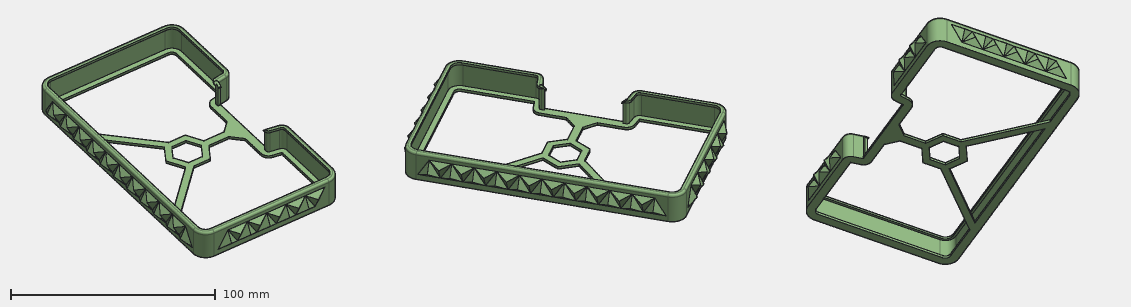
import cadquery as cq
import math

overall_length = 149
frame_length = 142.6
frame_width = 82.5
frame_height = 16.0
corner_radius = 7.3
wall_thickness = 1.5
bead_inset = 2.7
lip_width = 4.5
floor_thickness = 1.5
rim_round = 1.3
bead_height = 1.3

notch_depth = 8.8
notch_half_width = 21.5
notch_lean = 10
shoulder_radius = 4.5
strip_overhang = 0.1
wall_end_x = 20.0
end_lip_x = 19.2
end_slope_x = 22.0

hex_flats = 21.8
hex_hole_flats = 14.5
hex_y = -0.9
stem_width = 4.3
leg_width = 3.9
gusset_half_width = 7.9

stud_side = 11.5
stud_base_height = 9.5
stud_height = (overall_length - frame_length) / 2
stud_peak_offset = 1.6
front_studs = 21
side_studs = 10
back_studs = 5

half_length = frame_length / 2
half_width = frame_width / 2
notch_y = half_width - notch_depth
notch_mouth_x = notch_half_width + notch_depth * math.tan(math.radians(notch_lean))
strip_front_y = notch_y - lip_width


def frame_prism(inset, bottom, top):
    """Notched frame outline, moved inwards by inset and extruded from bottom to top."""
    half_outline = [
        (half_length, -half_width, corner_radius - inset),
        (half_length, half_width, corner_radius - inset),
        (notch_mouth_x, half_width, shoulder_radius - inset),
        (notch_half_width, notch_y, inset),
    ]
    corners = half_outline + [(-x, y, r) for x, y, r in reversed(half_outline)]
    outline = cq.Workplane("XY", origin=(0, 0, bottom)).polyline([(x, y) for x, y, _ in corners]).close()
    if inset > 0:
        outline = outline.offset2D(-inset, "intersection")
    prism = outline.extrude(top - bottom)
    for x, y, radius in corners:
        if radius > 0:
            nearest = cq.selectors.NearestToPointSelector((x, y, (bottom + top) / 2))
            prism = prism.edges("|Z").edges(nearest).fillet(radius)
    return prism


def notch_gap():
    """Opening between the two wall ends; each end has a lip whose top slopes up to the rim at 45 degrees."""
    lip_bottom = frame_height - (end_slope_x - end_lip_x)
    right_profile = [
        (wall_end_x, floor_thickness),
        (wall_end_x, lip_bottom),
        (end_lip_x, lip_bottom),
        (end_slope_x, frame_height),
    ]
    left_profile = [(-x, z) for x, z in reversed(right_profile)]
    return (
        cq.Workplane("XZ", origin=(0, notch_y, 0))
        .polyline(right_profile + left_profile)
        .close()
        .extrude(lip_width, both=True)
    )


def frame():
    body = frame_prism(0, 0, frame_height).faces(">Z").edges().fillet(rim_round)
    return (
        body.cut(frame_prism(lip_width, 0, floor_thickness))
        .cut(frame_prism(wall_thickness, floor_thickness, frame_height - bead_height))
        .cut(frame_prism(bead_inset, frame_height - bead_height, frame_height))
        .cut(notch_gap())
    )


def floor_plate(points):
    return cq.Workplane("XY").polyline(points).close().extrude(floor_thickness)


def floor_rectangle(half_x, y_front, y_back):
    return floor_plate([(-half_x, y_front), (half_x, y_front), (half_x, y_back), (-half_x, y_back)])


def hexagon(flats):
    """Hexagonal plate with two flats facing along X."""
    radius = flats / math.sqrt(3)
    angles = [math.radians(30 + 60 * i) for i in range(6)]
    return floor_plate([(radius * math.cos(a), hex_y + radius * math.sin(a)) for a in angles])


def leg(side):
    """Diagonal bar running at 45 degrees from a lower hexagon corner to the front lip."""
    half_leg = leg_width / math.sqrt(2)
    corner_x = hex_flats / 2
    corner_y = hex_y - corner_x * math.tan(math.radians(30))
    start_x = corner_x - half_leg
    start_y = corner_y + half_leg
    foot_y = -half_width + lip_width / 2
    foot_x = start_x + start_y - foot_y
    return floor_plate([
        (side * (start_x - half_leg), start_y),
        (side * (start_x + half_leg), start_y),
        (side * (foot_x + half_leg), foot_y),
        (side * (foot_x - half_leg), foot_y),
    ])


def spider():
    strip = floor_rectangle(notch_half_width, strip_front_y, notch_y + strip_overhang)
    stem = floor_rectangle(stem_width / 2, hex_y, notch_y)
    gusset = floor_plate([
        (-gusset_half_width, strip_front_y),
        (gusset_half_width, strip_front_y),
        (0, strip_front_y - gusset_half_width),
    ])
    body = hexagon(hex_flats).union(stem).union(gusset).union(strip)
    return body.union(leg(-1)).union(leg(1)).cut(hexagon(hex_hole_flats))


def stud(x, direction):
    """Pyramid on the XZ plane with its peak towards -Y; direction is 1 for point up, -1 for down."""
    base_z = -direction * stud_base_height / 2
    left = (x - stud_side / 2, 0, base_z)
    right = (x + stud_side / 2, 0, base_z)
    tip = (x, 0, -base_z)
    peak = (x, -stud_height, -direction * stud_peak_offset)
    triangles = [(left, right, tip), (left, right, peak), (right, tip, peak), (tip, left, peak)]
    faces = []
    for triangle in triangles:
        wire = cq.Wire.makePolygon([cq.Vector(*p) for p in triangle], close=True)
        faces.append(cq.Face.makeFromWires(wire))
    return cq.Solid.makeSolid(cq.Shell.makeShell(faces))


def stud_row(count, first_direction, x, y, turn):
    """Row of studs centred on (x, y), turned about Z from facing -Y."""
    place = cq.Location(cq.Vector(x, y, frame_height / 2), cq.Vector(0, 0, 1), turn)
    studs = []
    for i in range(count):
        along = (i - (count - 1) / 2) * stud_side / 2
        studs.append(stud(along, first_direction * (-1) ** i).moved(place))
    return studs


back_row_x = 4 * stud_side
studs = (
    stud_row(front_studs, 1, 0, -half_width, 0)
    + stud_row(back_studs, 1, back_row_x, half_width, 180)
    + stud_row(back_studs, 1, -back_row_x, half_width, 180)
    + stud_row(side_studs, 1, half_length, 0, 90)
    + stud_row(side_studs, -1, -half_length, 0, -90)
)

body = frame().union(spider())
for pyramid in studs:
    body = body.union(cq.Workplane(obj=pyramid))

result = cq.Workplane(obj=body.solids().val())